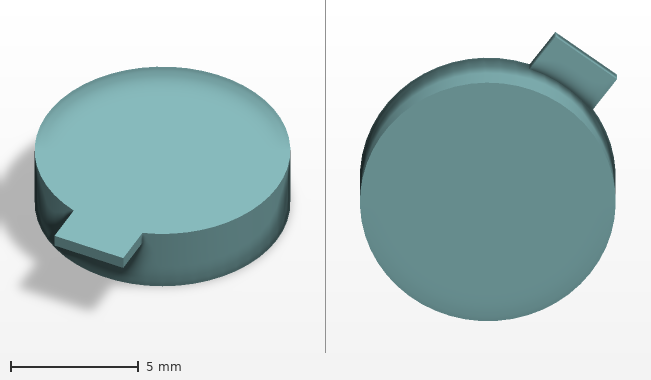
import cadquery as cq

total_length = 11.45
body_diameter = 10.0
body_height = 2.7

tab_width = 3.0
tab_thickness = 0.5

body_radius = body_diameter / 2
tab_reach = total_length - body_radius


def make_body():
    """Round disc standing on the XY plane, centred on the Z axis."""
    return cq.Workplane("XY").circle(body_radius).extrude(body_height)


def make_tab():
    """Rectangular tab running from the body axis out past the rim."""
    return (
        cq.Workplane("XY")
        .workplane(offset=body_height - tab_thickness)
        .center(0, -tab_reach / 2)
        .rect(tab_width, tab_reach)
        .extrude(tab_thickness)
    )


result = make_body().union(make_tab()).clean()